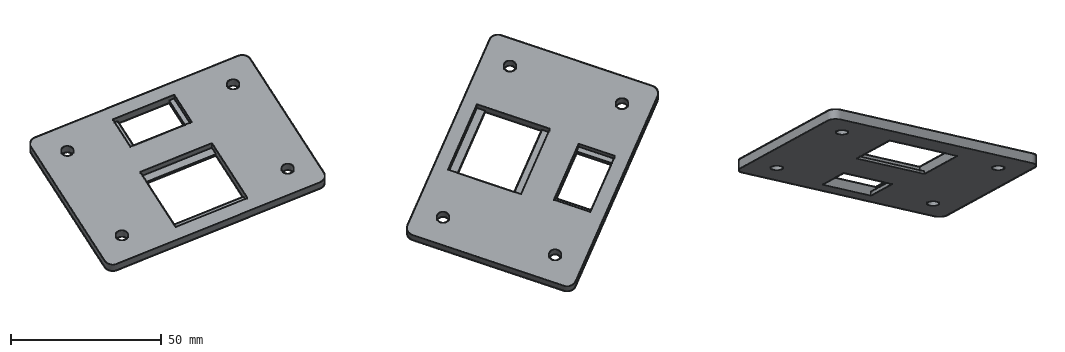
import cadquery as cq

plate_width = 60.0
plate_length = 82.0
plate_thickness = 3.5
corner_radius = 3.0

hole_diameter = 4.2
hole_spacing_x = 40.0
hole_spacing_y = 62.0

large_center_x = 12.0
large_width = 26.1
large_length = 26.8
large_ledge_width = 2.95
large_ledge_thickness = 1.0

small_center_x = -18.5
small_width = 12.95
small_length = 23.0
small_ledge_width = 1.9
small_ledge_thickness = 1.5


def box_cut(center_x, width, length, floor_z):
    """Rectangular cutter reaching from floor_z to the top of the plate."""
    return (
        cq.Workplane("XY", origin=(center_x, 0, floor_z))
        .rect(width, length)
        .extrude(plate_thickness - floor_z)
    )


def make_plate():
    """Round-cornered plate with four mounting holes."""
    return (
        cq.Workplane("XY")
        .rect(plate_width, plate_length)
        .extrude(plate_thickness)
        .edges("|Z")
        .fillet(corner_radius)
        .faces(">Z")
        .workplane()
        .rarray(hole_spacing_x, hole_spacing_y, 2, 2)
        .hole(hole_diameter)
    )


def large_window():
    """Through opening widened in X above its ledges."""
    opening_width = large_width - 2 * large_ledge_width
    opening = box_cut(large_center_x, opening_width, large_length, 0)
    recess = box_cut(large_center_x, large_width, large_length, large_ledge_thickness)
    return opening.union(recess)


def small_window():
    """Through opening lengthened in Y above its ledges."""
    opening_length = small_length - 2 * small_ledge_width
    opening = box_cut(small_center_x, small_width, opening_length, 0)
    recess = box_cut(small_center_x, small_width, small_length, small_ledge_thickness)
    return opening.union(recess)


result = make_plate().cut(large_window()).cut(small_window())